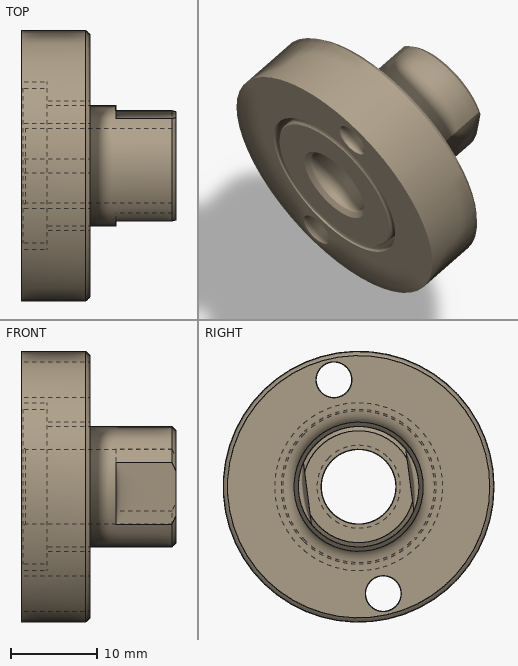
import cadquery as cq

flange_diameter = 31.45
flange_thickness = 8.0
edge_chamfer = 0.5

bolt_hole_diameter = 4.12
bolt_circle_radius = 12.75
bolt_tilt = 13.0

head_diameter = 18.0
head_thickness = 3.0
head_chamfer = 0.2
recess_diameter = 19.5

neck_diameter = 14.0
neck_clearance_diameter = 15.0
hub_length = 18.0
bore_diameter = 8.65

flat_width = 12.0
flat_length = 7.0
flat_tilt = 7.4


def cylinder(diameter, start, length):
    """Solid cylinder along the X axis, beginning at X = start."""
    return cq.Workplane("YZ", origin=(start, 0, 0)).circle(diameter / 2).extrude(length)


def make_flange():
    """Round flange with a recess for the hub head and two opposite bolt holes."""
    flange = cylinder(flange_diameter, 0, flange_thickness)
    flange = flange.faces(">X").edges().chamfer(edge_chamfer)
    flange = flange.cut(cylinder(recess_diameter, 0, head_thickness))
    flange = flange.cut(cylinder(neck_clearance_diameter, 0, flange_thickness))

    bolt_hole = cylinder(bolt_hole_diameter, 0, flange_thickness).translate((0, 0, bolt_circle_radius))
    for angle in (bolt_tilt, bolt_tilt + 180):
        flange = flange.cut(bolt_hole.rotate((0, 0, 0), (1, 0, 0), angle))
    return flange


def make_flat_cutter():
    """Block that removes the neck material outside one wrench flat."""
    block = cq.Workplane("XY").box(flat_length, neck_diameter, neck_diameter, centered=(False, False, True))
    block = block.translate((hub_length - flat_length, flat_width / 2, 0))
    return block.rotate((0, 0, 0), (1, 0, 0), flat_tilt)


def make_hub():
    """Headed, bored hub with two parallel wrench flats at the end of its neck."""
    head = cylinder(head_diameter, 0, head_thickness).faces("<X").edges().chamfer(head_chamfer)
    neck = cylinder(neck_diameter, 0, hub_length).faces(">X").edges().chamfer(edge_chamfer)
    hub = head.union(neck)

    hub = hub.cut(cylinder(bore_diameter, 0, hub_length))
    bore_rim = hub.faces("<X").edges(cq.selectors.RadiusNthSelector(0))
    hub = bore_rim.chamfer(edge_chamfer)

    flat_cutter = make_flat_cutter()
    for angle in (0, 180):
        hub = hub.cut(flat_cutter.rotate((0, 0, 0), (1, 0, 0), angle))
    return hub


flange = make_flange()
hub = make_hub()

result = cq.Compound.makeCompound([flange.val(), hub.val()])